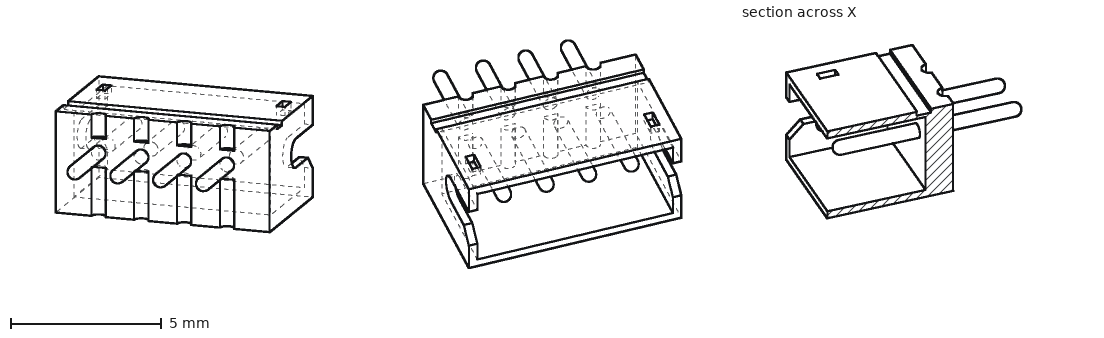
import cadquery as cq
import math


housing_width = 7.5
housing_depth = 4.5
housing_height = 3.5
wall = 0.3
base_thickness = 1.0

pin_count = 4
pin_pitch = 1.5
pin_radius = 0.25
pin_height = 2.2
tail_length = 2.7
tip_recess = 0.5

slot_bottom = 1.5
slot_width = 1.0
slot_depth = 2.25
slot_lead_in = 0.5

groove_offset = 0.8
groove_width = 0.5
groove_depth = 0.15

channel_radius = 0.25
channel_clearance = 0.5

window_width = 0.3
window_length = 0.65
window_side_margin = 0.45
window_mouth_margin = 0.92

pin_positions = [(i - (pin_count - 1) / 2) * pin_pitch for i in range(pin_count)]


def make_box(x_range, y_range, z_range):
    """Box filling the given (low, high) ranges along X, Y and Z."""
    (x0, x1), (y0, y1), (z0, z1) = x_range, y_range, z_range
    box = cq.Workplane("XY").box(x1 - x0, y1 - y0, z1 - z0, centered=False)
    return box.translate((x0, y0, z0))


def make_shell():
    """Outer block hollowed from the mouth, leaving the walls and the pin base."""
    half_width = housing_width / 2
    half_cavity = half_width - wall
    block = make_box((-half_width, half_width), (0, housing_depth), (0, housing_height))
    cavity = make_box(
        (-half_cavity, half_cavity),
        (base_thickness, housing_depth),
        (wall, housing_height - wall),
    )
    return block.cut(cavity)


def make_side_slots():
    """Round-ended slot with a sloped lower lip, crossing both side walls."""
    slot_radius = slot_width / 2
    slot_top = slot_bottom + slot_width
    slot_end = housing_depth - slot_depth
    arc_start = slot_end + slot_radius
    return (
        cq.Workplane("YZ")
        .moveTo(housing_depth, slot_top)
        .lineTo(arc_start, slot_top)
        .threePointArc((slot_end, slot_bottom + slot_radius), (arc_start, slot_bottom))
        .lineTo(housing_depth - slot_lead_in, slot_bottom)
        .lineTo(housing_depth, slot_bottom - slot_lead_in)
        .close()
        .extrude(housing_width / 2, both=True)
    )


def make_groove():
    """Shallow groove across the full width of the top face."""
    return make_box(
        (-housing_width / 2, housing_width / 2),
        (groove_offset, groove_offset + groove_width),
        (housing_height - groove_depth, housing_height),
    )


def make_channels(x):
    """Half-round channels above and below the pin at x."""
    upper_start = pin_height + channel_clearance
    lower_end = pin_height - channel_clearance
    profile = cq.Sketch().circle(channel_radius)
    lower = cq.Workplane("XY", origin=(x, 0, 0)).placeSketch(profile).extrude(lower_end)
    upper = (
        cq.Workplane("XY", origin=(x, 0, upper_start))
        .placeSketch(profile)
        .extrude(housing_height - upper_start)
    )
    return lower.union(upper)


def make_window(side):
    """Rectangular opening through the top wall; side is -1 or 1 along X."""
    outer_x = housing_width / 2 - window_side_margin
    centre_x = side * (outer_x - window_width / 2)
    end_y = housing_depth - window_mouth_margin
    return make_box(
        (centre_x - window_width / 2, centre_x + window_width / 2),
        (end_y - window_length, end_y),
        (housing_height - wall, housing_height),
    )


def make_pin(x):
    """Round pin at x with hemispherical ends."""
    tail_end = -tail_length
    mating_end = housing_depth - tip_recess
    dome_middle = pin_radius * math.sin(math.pi / 4)
    dome_inset = pin_radius - dome_middle
    return (
        cq.Workplane("YZ", origin=(x, 0, pin_height))
        .moveTo(tail_end, 0)
        .threePointArc((tail_end + dome_inset, dome_middle), (tail_end + pin_radius, pin_radius))
        .lineTo(mating_end - pin_radius, pin_radius)
        .threePointArc((mating_end - dome_inset, dome_middle), (mating_end, 0))
        .close()
        .revolve(360, (0, 0, 0), (1, 0, 0))
    )


result = make_shell().cut(make_side_slots()).cut(make_groove())

for side in (-1, 1):
    result = result.cut(make_window(side))

for x in pin_positions:
    result = result.cut(make_channels(x)).union(make_pin(x))